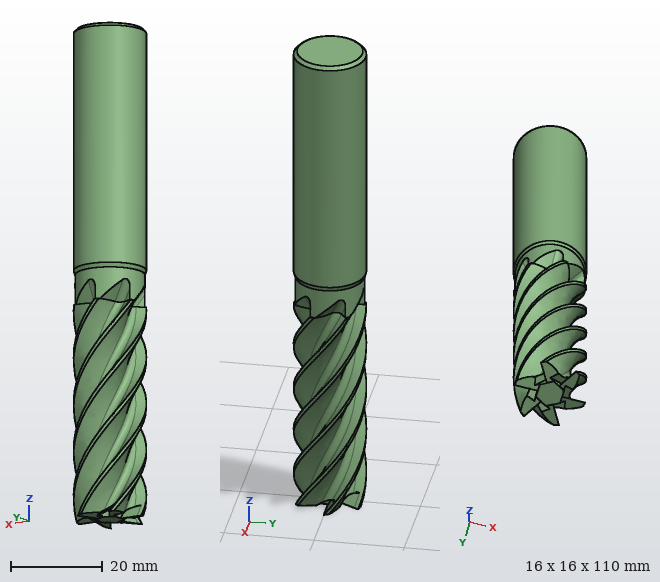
import cadquery as cq
import math


total_length = 110.0
tool_diameter = 16.0
tool_radius = tool_diameter / 2
cutter_length = 48.0

neck_diameter = 15.3
neck_radius = neck_diameter / 2
neck_top = 55.0
shank_bottom = 56.0
shank_chamfer = 0.8

flute_count = 6
flute_pitch_angle = 360 / flute_count
helix_lead = 62.5
land_angle = 7.0
land_end_radius = 7.9
rake_foot_radius = 5.6
tooth_back_radius = 9.9
flute_fillet_radius = 1.3
runout_height = 4.7

end_cut_start = 2.8
end_relief_width = 2.9
end_relief_height = 0.5
gash_width = 3.1
gash_height = 2.9
gash_lean = 2.0

clearance = 2.2

cutter_twist = 360 * cutter_length / helix_lead


def polar(radius, degrees):
    """Point at a radius and an angle about the tool axis."""
    angle = math.radians(degrees)
    return (radius * math.cos(angle), radius * math.sin(angle))


def along(start, end, distance):
    """Point at a distance from start on the straight line through start and end."""
    share = distance / math.dist(start, end)
    return (start[0] + share * (end[0] - start[0]), start[1] + share * (end[1] - start[1]))


def add_flute(outline, rake_angle):
    """Draw the rounded tooth back and the flute fillet, ending at the foot of the radial rake face.

    The back bulges outward; the fillet is tangent both to it and to the rake face.
    """
    land_end = polar(land_end_radius, rake_angle - flute_pitch_angle + land_angle)
    foot = polar(rake_foot_radius, rake_angle)
    fillet_center = polar(
        math.hypot(rake_foot_radius, flute_fillet_radius),
        rake_angle - math.degrees(math.atan2(flute_fillet_radius, rake_foot_radius)),
    )

    center_distance = tooth_back_radius + flute_fillet_radius
    land_distance = math.dist(fillet_center, land_end)
    corner_cosine = (land_distance**2 + center_distance**2 - tooth_back_radius**2) / (
        2 * land_distance * center_distance
    )
    land_direction = math.degrees(
        math.atan2(land_end[1] - fillet_center[1], land_end[0] - fillet_center[0])
    )
    joint_direction = land_direction - math.degrees(math.acos(corner_cosine))
    step = polar(center_distance, joint_direction)
    back_center = (fillet_center[0] + step[0], fillet_center[1] + step[1])
    joint = along(fillet_center, back_center, flute_fillet_radius)

    back_chord_middle = ((land_end[0] + joint[0]) / 2, (land_end[1] + joint[1]) / 2)
    back_middle = along(back_center, back_chord_middle, tooth_back_radius)
    fillet_chord_middle = ((joint[0] + foot[0]) / 2, (joint[1] + foot[1]) / 2)
    fillet_middle = along(fillet_center, fillet_chord_middle, flute_fillet_radius)
    return outline.threePointArc(back_middle, joint).threePointArc(fillet_middle, foot)


def tooth_section():
    """Closed outline of all teeth: land, rounded back, flute fillet and radial rake face in turn."""
    outline = cq.Workplane("XY").moveTo(tool_radius, 0)
    for tooth in range(flute_count):
        edge_angle = tooth * flute_pitch_angle
        next_edge_angle = edge_angle + flute_pitch_angle
        outline = outline.lineTo(*polar(land_end_radius, edge_angle + land_angle))
        outline = add_flute(outline, next_edge_angle)
        outline = outline.lineTo(*polar(tool_radius, next_edge_angle))
    return outline.close()


def end_wedge(points, edge_angle):
    """Prism lying radially along a cutting edge; points are (distance behind the edge, height)."""
    length = tool_radius + clearance - end_cut_start
    wedge = cq.Workplane("YZ").polyline(points).close().extrude(length)
    return wedge.translate((end_cut_start, 0, 0)).rotate((0, 0, 0), (0, 0, 1), edge_angle)


def make_cutter():
    body = tooth_section().twistExtrude(cutter_length, cutter_twist)
    relief = [(0, 0), (end_relief_width, end_relief_height), (end_relief_width, 0)]
    gash = [(0, 0), (gash_lean, gash_height), (-gash_width, 0)]
    wedges = []
    for tooth in range(flute_count):
        edge_angle = tooth * flute_pitch_angle
        wedges.append(end_wedge(relief, edge_angle).val())
        wedges.append(end_wedge(gash, edge_angle).val())
    return body.val().cut(*wedges).Solids()[0]


def flute_runout(rake_angle):
    """One flute carried on into the neck, sliding outward along its rake face until it runs out."""
    reach = tool_radius + clearance
    land_end_angle = rake_angle - flute_pitch_angle + land_angle
    outline = cq.Workplane("XY").workplane(offset=cutter_length)
    outline = outline.moveTo(*polar(land_end_radius, land_end_angle))
    outline = add_flute(outline, rake_angle)
    outline = outline.lineTo(*polar(reach, rake_angle)).lineTo(*polar(reach, land_end_angle)).close()
    run = polar(neck_radius - rake_foot_radius + flute_fillet_radius, rake_angle)
    direction = cq.Vector(run[0], run[1], runout_height)
    return cq.Solid.extrudeLinear(outline.wires().val(), [], direction)


def make_shank():
    profile = (
        cq.Workplane("XZ")
        .moveTo(0, cutter_length)
        .lineTo(neck_radius, cutter_length)
        .lineTo(neck_radius, neck_top)
        .lineTo(tool_radius, shank_bottom)
        .lineTo(tool_radius, total_length - shank_chamfer)
        .lineTo(tool_radius - shank_chamfer, total_length)
        .lineTo(0, total_length)
        .close()
    )
    body = profile.revolve(360, (0, 0, 0), (0, 1, 0))
    runouts = [
        flute_runout(cutter_twist + flute * flute_pitch_angle) for flute in range(flute_count)
    ]
    return body.val().cut(*runouts).Solids()[0]


cutter = make_cutter()
shank = make_shank()

result = cq.Compound.makeCompound([cutter, shank])